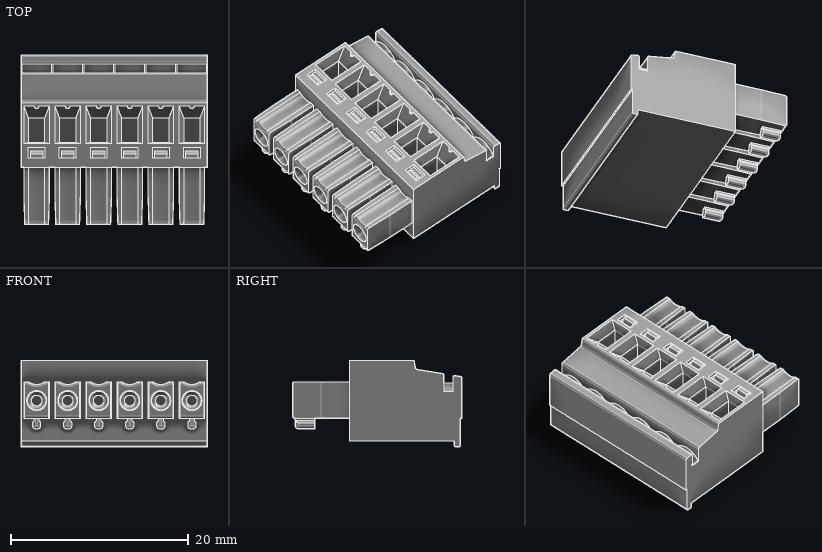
import cadquery as cq
import math


POLES = 6
PITCH = 3.5
WIDTH = POLES * PITCH
POLE_CENTRES = [(i - (POLES - 1) / 2) * PITCH for i in range(POLES)]
OVERLAP = 0.2

BODY_HEIGHT = 9.1
BODY_DEPTH = 12.7
SLOPE_ANGLE = math.radians(9.2)
SLOPE_START_Y = 7.48
SLOPE_START_Z = 8.1
SLOPE_FILLET = 0.2
TOP_EDGE_FILLET = 0.13

GROOVE_FRONT_Y = 10.66
GROOVE_REAR_Y = 11.67
GROOVE_FLOOR_Z = 5.6
GROOVE_EDGE_FILLET = 0.2

FOOT_DROP = 0.65
FOOT_FRONT_Y = 11.82
REAR_STEP = 0.17
REAR_STEP_Z = 2.55
FOOT_FILLET = 0.16

RIDGE_WIDTH = 3.35
RIDGE_HEIGHT = 0.95

FUNNEL_WIDTH = 2.88
FUNNEL_FRONT_Y = 2.69
FUNNEL_REAR_Y = 6.92
FUNNEL_DEPTH = 1.2
SHAFT_WIDTH = 1.83
SHAFT_FRONT_Y = 2.8
SHAFT_REAR_Y = 5.58
SHAFT_FLOOR_Z = 3.0
TAB_DIAMETER = 0.55

WINDOW_WIDTH = 1.9
WINDOW_FRONT_Y = 1.07
WINDOW_REAR_Y = 2.28
WINDOW_DEPTH = 0.45
CATCH_WIDTH = 1.4
CATCH_HEIGHT = 0.36
CATCH_REAR_Y = 1.86

PIN_LENGTH = 6.4
PIN_STRAIGHT_LENGTH = 3.2
PIN_ROOT_WIDTH = 2.9
PIN_TIP_WIDTH = 2.7
PIN_BOTTOM_Z = 2.56
PIN_TOP_Z = 6.68
PIN_FILLET = 0.25
SCOOP_DIAMETER = 3.0
SCOOP_WIDTH = 1.83

HOLE_Z = 4.56
HOLE_MOUTH_DIAMETER = 2.24
HOLE_THROAT_DIAMETER = 2.1
HOLE_END_DIAMETER = 1.2
HOLE_ENTRY_DEPTH = 1.2
HOLE_CONE_DEPTH = 0.3
HOLE_DEPTH = 4.0

KEY_REAR_Y = -3.88
KEY_FRONT_Y = -6.1
KEY_HEIGHT = 1.18
KEY_WIDTH = 0.92
KEY_NECK_WIDTH = 0.55
KEY_NECK_HEIGHT = 0.25
KEY_SHOULDER_HEIGHT = 0.5
KEY_BOTTOM_FILLET = 0.34
KEY_NOSE_FILLET = 0.36


def slope_z(y):
    """Height of the rear slope at depth y."""
    return SLOPE_START_Z - (y - SLOPE_START_Y) * math.tan(SLOPE_ANGLE)


def box(width, y_min, y_max, z_min, z_max):
    """Block centred on x = 0."""
    size_y = y_max - y_min
    size_z = z_max - z_min
    return cq.Workplane("XY").box(width, size_y, size_z, centered=(True, False, False)).translate(
        (0, y_min, z_min)
    )


def prism_along_x(points, width):
    """Extrude a (y, z) outline symmetrically about x = 0."""
    return cq.Workplane("YZ").polyline(points).close().extrude(width / 2, both=True)


def fillet_x_edge(solid, y, z, radius):
    """Round the edge parallel to X that passes through (y, z)."""
    return solid.edges(cq.selectors.NearestToPointSelector((0, y, z))).fillet(radius)


def make_body():
    riser_top_y = SLOPE_START_Y - (BODY_HEIGHT - SLOPE_START_Z) * math.tan(SLOPE_ANGLE)
    foot_rear_y = BODY_DEPTH - REAR_STEP
    outline = [
        (0, 0),
        (0, BODY_HEIGHT),
        (riser_top_y, BODY_HEIGHT),
        (SLOPE_START_Y, SLOPE_START_Z),
        (GROOVE_FRONT_Y, slope_z(GROOVE_FRONT_Y)),
        (GROOVE_FRONT_Y, GROOVE_FLOOR_Z),
        (GROOVE_REAR_Y, GROOVE_FLOOR_Z),
        (GROOVE_REAR_Y, slope_z(GROOVE_REAR_Y)),
        (BODY_DEPTH, slope_z(BODY_DEPTH)),
        (BODY_DEPTH, REAR_STEP_Z),
        (foot_rear_y, REAR_STEP_Z),
        (foot_rear_y, -FOOT_DROP),
        (FOOT_FRONT_Y, -FOOT_DROP),
        (FOOT_FRONT_Y, 0),
    ]
    body = prism_along_x(outline, WIDTH)
    body = fillet_x_edge(body, riser_top_y, BODY_HEIGHT, TOP_EDGE_FILLET)
    body = fillet_x_edge(body, SLOPE_START_Y, SLOPE_START_Z, SLOPE_FILLET)
    for y in (GROOVE_FRONT_Y, GROOVE_REAR_Y, BODY_DEPTH):
        body = fillet_x_edge(body, y, slope_z(y), GROOVE_EDGE_FILLET)
    for y in (FOOT_FRONT_Y, foot_rear_y):
        body = fillet_x_edge(body, y, -FOOT_DROP, FOOT_FILLET)
    return body


def make_ridge():
    half = RIDGE_WIDTH / 2
    base_z = GROOVE_FLOOR_Z - OVERLAP
    length = GROOVE_REAR_Y - GROOVE_FRONT_Y + 2 * OVERLAP
    return (
        cq.Workplane("XZ", origin=(0, GROOVE_REAR_Y + OVERLAP, 0))
        .moveTo(-half, base_z)
        .lineTo(-half, GROOVE_FLOOR_Z)
        .threePointArc((0, GROOVE_FLOOR_Z + RIDGE_HEIGHT), (half, GROOVE_FLOOR_Z))
        .lineTo(half, base_z)
        .close()
        .extrude(length)
    )


def make_funnel():
    """Tapered mouth above a straight shaft, with a round tab left on the rear wall."""
    mouth_y = (FUNNEL_FRONT_Y + FUNNEL_REAR_Y) / 2
    shaft_y = (SHAFT_FRONT_Y + SHAFT_REAR_Y) / 2
    funnel_floor_z = BODY_HEIGHT - FUNNEL_DEPTH
    mouth = (
        cq.Workplane("XY", origin=(0, mouth_y, BODY_HEIGHT))
        .rect(FUNNEL_WIDTH, FUNNEL_REAR_Y - FUNNEL_FRONT_Y)
        .workplane(offset=-FUNNEL_DEPTH)
        .center(0, shaft_y - mouth_y)
        .rect(SHAFT_WIDTH, SHAFT_REAR_Y - SHAFT_FRONT_Y)
        .loft(ruled=True)
    )
    shaft = box(SHAFT_WIDTH, SHAFT_FRONT_Y, SHAFT_REAR_Y, SHAFT_FLOOR_Z, funnel_floor_z)
    tab = (
        cq.Workplane("XY", origin=(0, FUNNEL_REAR_Y, BODY_HEIGHT))
        .circle(TAB_DIAMETER / 2)
        .extrude(-FUNNEL_DEPTH)
    )
    return mouth.union(shaft).cut(tab)


def make_window():
    floor_z = BODY_HEIGHT - WINDOW_DEPTH
    window = box(WINDOW_WIDTH, WINDOW_FRONT_Y, WINDOW_REAR_Y, floor_z, BODY_HEIGHT)
    catch = prism_along_x(
        [
            (WINDOW_FRONT_Y, floor_z),
            (CATCH_REAR_Y, floor_z),
            (CATCH_REAR_Y - CATCH_HEIGHT, floor_z + CATCH_HEIGHT),
            (WINDOW_FRONT_Y, floor_z + CATCH_HEIGHT),
        ],
        CATCH_WIDTH,
    )
    return window.cut(catch)


def make_contact_hole():
    """Slightly drafted entry, a cone, then a narrow bore with a flat end."""
    tip_y = -PIN_LENGTH
    cone_end_y = tip_y + HOLE_ENTRY_DEPTH + HOLE_CONE_DEPTH
    return (
        cq.Workplane("XY")
        .polyline(
            [
                (0, tip_y),
                (HOLE_MOUTH_DIAMETER / 2, tip_y),
                (HOLE_THROAT_DIAMETER / 2, tip_y + HOLE_ENTRY_DEPTH),
                (HOLE_END_DIAMETER / 2, cone_end_y),
                (HOLE_END_DIAMETER / 2, tip_y + HOLE_DEPTH),
                (0, tip_y + HOLE_DEPTH),
            ]
        )
        .close()
        .revolve(360, (0, 0, 0), (0, 1, 0))
        .translate((0, 0, HOLE_Z))
    )


def make_key():
    """Bar with a rounded nose and underside, narrowed to a neck where it joins the pin."""
    neck = KEY_NECK_WIDTH / 2
    half = KEY_WIDTH / 2
    top_z = PIN_BOTTOM_Z + OVERLAP
    bottom_z = PIN_BOTTOM_Z - KEY_HEIGHT
    neck_z = PIN_BOTTOM_Z - KEY_NECK_HEIGHT
    shoulder_z = PIN_BOTTOM_Z - KEY_SHOULDER_HEIGHT
    section = [
        (-neck, top_z),
        (-neck, neck_z),
        (-half, shoulder_z),
        (-half, bottom_z),
        (half, bottom_z),
        (half, shoulder_z),
        (neck, neck_z),
        (neck, top_z),
    ]
    necked_bar = (
        cq.Workplane("XZ", origin=(0, KEY_REAR_Y, 0))
        .polyline(section)
        .close()
        .extrude(KEY_REAR_Y - KEY_FRONT_Y)
    )
    rounded_bar = (
        box(KEY_WIDTH, KEY_FRONT_Y, KEY_REAR_Y, bottom_z, top_z)
        .edges("|Z and <Y")
        .fillet(KEY_NOSE_FILLET)
        .faces("<Z")
        .edges("not >Y")
        .fillet(KEY_BOTTOM_FILLET)
    )
    return necked_bar.intersect(rounded_bar)


def make_pin():
    root = PIN_ROOT_WIDTH / 2
    tip = PIN_TIP_WIDTH / 2
    pin = (
        cq.Workplane("XY", origin=(0, 0, PIN_BOTTOM_Z))
        .polyline(
            [
                (-root, OVERLAP),
                (-root, -PIN_STRAIGHT_LENGTH),
                (-tip, -PIN_LENGTH),
                (tip, -PIN_LENGTH),
                (root, -PIN_STRAIGHT_LENGTH),
                (root, OVERLAP),
            ]
        )
        .close()
        .extrude(PIN_TOP_Z - PIN_BOTTOM_Z)
    )
    scoop_radius = SCOOP_DIAMETER / 2
    scoop_z = PIN_TOP_Z + math.sqrt(scoop_radius**2 - (SCOOP_WIDTH / 2) ** 2)
    scoop = cq.Workplane("XZ").center(0, scoop_z).circle(scoop_radius).extrude(PIN_LENGTH + OVERLAP)
    pin = pin.cut(scoop)
    pin = pin.faces("<Y").edges("not |Z").fillet(PIN_FILLET)
    return pin.union(make_key()).cut(make_contact_hole())


def make_terminal_block():
    block = make_body()
    ridge = make_ridge()
    pin = make_pin()
    funnel = make_funnel()
    window = make_window()
    for x in POLE_CENTRES:
        offset = (x, 0, 0)
        block = block.union(ridge.translate(offset)).union(pin.translate(offset))
        block = block.cut(funnel.translate(offset)).cut(window.translate(offset))
    return block


result = make_terminal_block()